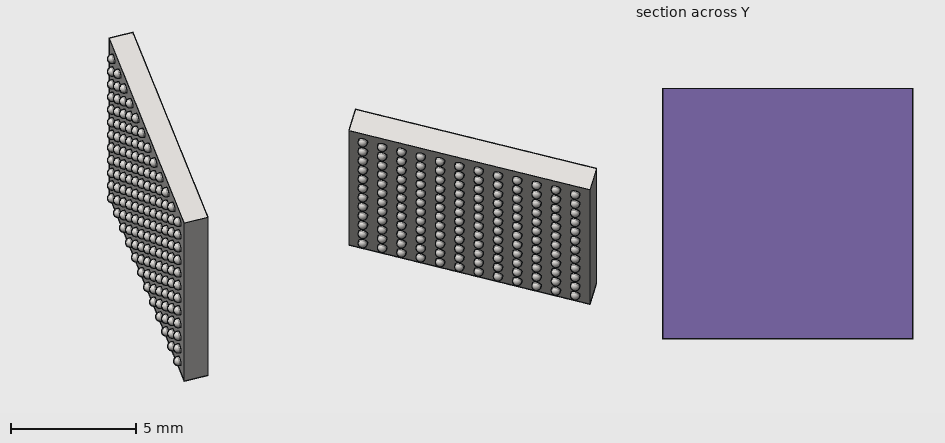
import cadquery as cq
import math

body_side = 10.0
body_thickness = 1.0

balls_per_side = 12
ball_pitch = 0.8
ball_height = 0.25
ball_radius = 0.19
collar_height = ball_height - ball_radius


def make_body():
    """Plain plate with its ball face at Y = 0 and its back at +Y."""
    return cq.Workplane("XY").box(
        body_side, body_thickness, body_side, centered=(True, False, True)
    )


def make_ball():
    """Ball profile revolved about the Y axis, pointing toward -Y."""
    arc_offset = ball_radius * math.sqrt(0.5)
    return (
        cq.Workplane("XY")
        .lineTo(ball_radius, 0)
        .lineTo(ball_radius, -collar_height)
        .threePointArc((arc_offset, -collar_height - arc_offset), (0, -ball_height))
        .close()
        .revolve(360, (0, 0), (0, 1))
    )


def make_ball_grid():
    """Square grid of balls centred on the ball face."""
    ball = make_ball().val()
    first_ball = -ball_pitch * (balls_per_side - 1) / 2
    positions = [first_ball + ball_pitch * index for index in range(balls_per_side)]
    return [ball.translate(cq.Vector(x, 0, z)) for x in positions for z in positions]


result = cq.Workplane(make_body().val().fuse(*make_ball_grid()))